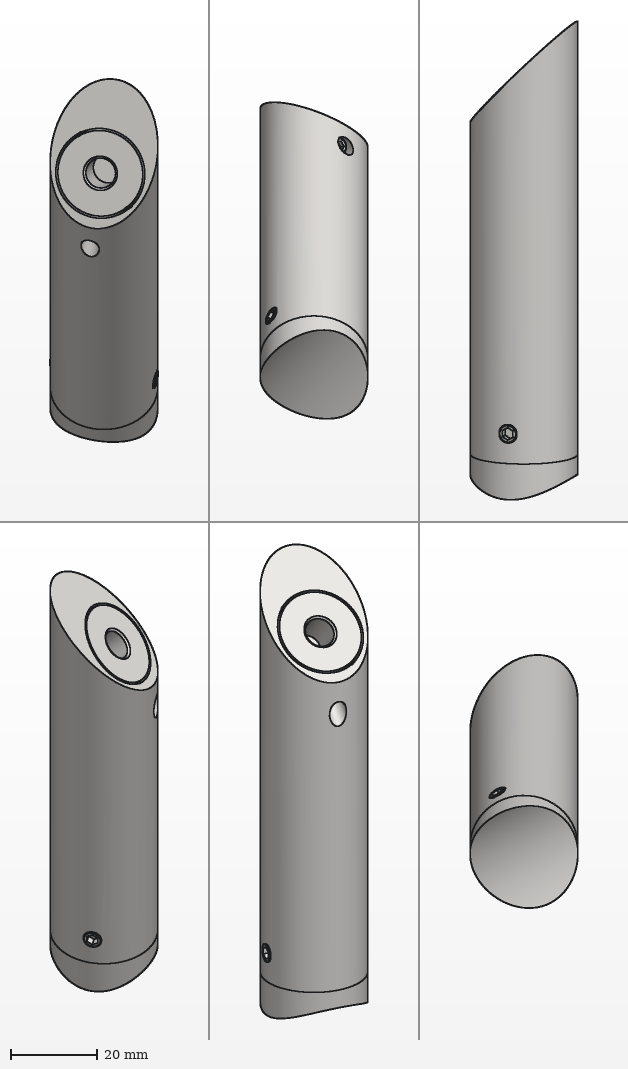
import cadquery as cq
import math

post_dia = 25.0
post_radius = post_dia / 2
total_height = 111.1
slant_mid_z = total_height - post_radius

saddle_top_z = 8.5
rail_radius = 21.2
rail_axis_z = -math.sqrt(rail_radius**2 - post_radius**2)

insert_dia = 20.0
insert_gap = 0.5
insert_thickness = 10.0
insert_offset = 4.7
bore_dia = 7.0
bore_chamfer = 0.5

screw_dia = 4.3
screw_length = 4.3
screw_chamfer = 0.2
socket_flats = 2.5
socket_depth = 2.0

side_screw_z = 15.5
clamp_screw_depth = 5.7
clamp_screw_end = insert_offset + insert_dia / 2
clamp_hole_reach = post_dia

slant_face = cq.Plane(origin=(0, 0, slant_mid_z), xDir=(1, 0, 0), normal=(0, -1, 1))
insert_seat = cq.Plane(
    origin=slant_face.toWorldCoords((0, -insert_offset, 0)), xDir=(1, 0, 0), normal=(0, -1, 1)
)

side_screw_planes = [
    cq.Plane(
        origin=(side * post_radius, 0, side_screw_z),
        xDir=(0, 0, 1),
        normal=(-side, 0, 0),
    )
    for side in (-1, 1)
]
clamp_screw_plane = cq.Plane(
    origin=slant_face.toWorldCoords((0, -clamp_screw_end - screw_length, -clamp_screw_depth)),
    xDir=(0, -1, 1),
    normal=(0, 1, 1),
)


def make_screw_hole(plane, clearance_outside):
    """Hole as deep as the screw, open to the outside of the post."""
    return (
        cq.Workplane(plane)
        .workplane(offset=-clearance_outside)
        .circle(screw_dia / 2)
        .extrude(clearance_outside + screw_length)
    )


def make_post():
    bar = (
        cq.Workplane("XY", origin=(0, 0, saddle_top_z))
        .circle(post_radius)
        .extrude(total_height - saddle_top_z)
    )
    above_slant = cq.Workplane(slant_face).rect(2 * total_height, 2 * total_height).extrude(total_height)
    recess = cq.Workplane(insert_seat).circle(insert_dia / 2 + insert_gap).extrude(-insert_thickness)
    body = bar.cut(above_slant).cut(recess)
    for plane in side_screw_planes:
        body = body.cut(make_screw_hole(plane, post_radius))
    return body.cut(make_screw_hole(clamp_screw_plane, clamp_hole_reach))


def make_saddle():
    foot = cq.Workplane("XY").circle(post_radius).extrude(saddle_top_z)
    rail = (
        cq.Workplane("XZ", origin=(0, 0, rail_axis_z))
        .circle(rail_radius)
        .extrude(post_radius, both=True)
    )
    return foot.cut(rail)


def make_insert():
    disc = cq.Workplane(insert_seat).circle(insert_dia / 2).extrude(-insert_thickness)
    bore = cq.Workplane(insert_seat).circle(bore_dia / 2).extrude(-insert_thickness)
    countersink = (
        cq.Workplane(insert_seat)
        .circle(bore_dia / 2 + bore_chamfer)
        .workplane(offset=-bore_chamfer)
        .circle(bore_dia / 2)
        .loft()
    )
    return disc.cut(bore).cut(countersink)


def make_set_screw(plane):
    """Screw running inward from the plane, with a socket corner along the plane's local X."""
    shank = cq.Workplane(plane).circle(screw_dia / 2).extrude(screw_length)
    shank = shank.faces(cq.selectors.DirectionMinMaxSelector(plane.zDir, False)).chamfer(screw_chamfer)
    socket_corners = socket_flats / math.cos(math.pi / 6)
    socket = cq.Workplane(plane).polygon(6, socket_corners).extrude(socket_depth)
    return shank.cut(socket)


post = make_post()
saddle = make_saddle()
insert = make_insert()
set_screws = [make_set_screw(plane) for plane in [clamp_screw_plane, *side_screw_planes]]

result = cq.Compound.makeCompound(
    [post.val(), saddle.val(), insert.val(), *[screw.val() for screw in set_screws]]
)